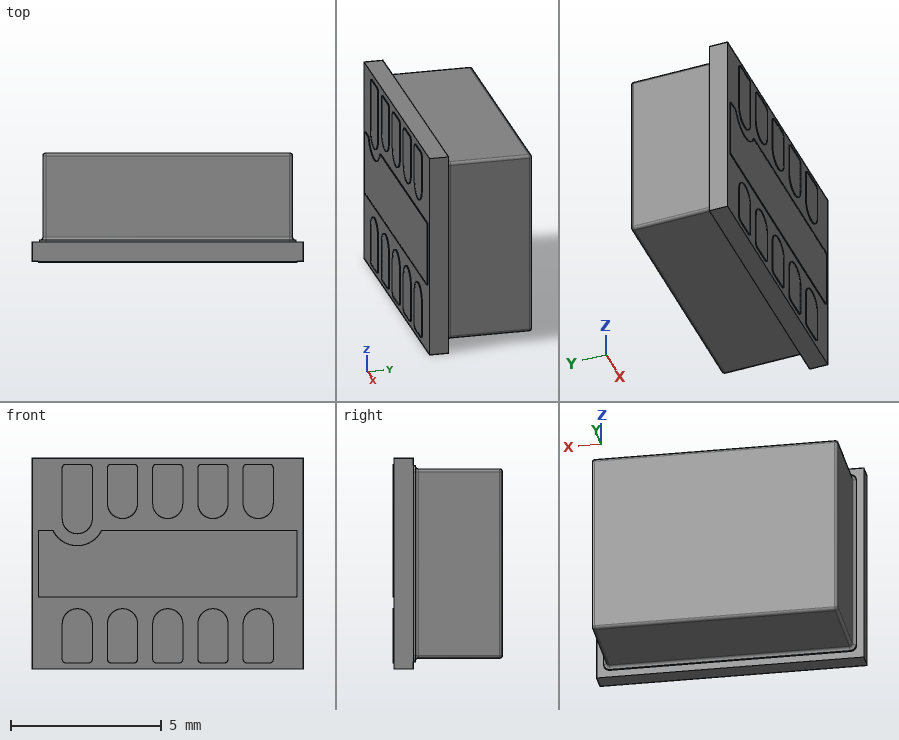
import cadquery as cq

board_width = 9.0
board_height = 7.0
overall_depth = 3.63
board_thickness = 0.65

cap_inset = 0.36
cap_edge_radius = 0.1
flange_overhang = 0.12
flange_thickness = 0.06
flange_fillet_radius = 0.1

pad_relief = 0.03
pad_margin = 0.21
pad_count = 5
pad_pitch = board_width / 6
pad_width = 1.0
pad_corner_radius = 0.13
pad_length = 1.8
long_pad_length = 2.3

thermal_pad_width = board_width - 2 * pad_margin
thermal_pad_height = 2.205
thermal_corner_radius = 0.045
notch_clearance = 0.4

first_pad_x = -pad_pitch * (pad_count - 1) / 2
pad_row_edge_z = board_height / 2 - pad_margin
cap_depth = overall_depth - board_thickness - pad_relief
cap_width = board_width - 2 * cap_inset
cap_height = board_height - 2 * cap_inset


def rounded_block(width, height, depth, corner_radius):
    """Block standing on the back face of the board, with rounded edges along Y."""
    return (
        cq.Workplane("XZ", origin=(0, board_thickness, 0))
        .rect(width, height)
        .extrude(-depth)
        .edges("|Y")
        .fillet(corner_radius)
    )


def make_cap():
    """Housing with rounded edges and a thin foot flange blended into its walls."""
    body = rounded_block(cap_width, cap_height, cap_depth, cap_edge_radius)
    body = body.faces(">Y").edges().fillet(cap_edge_radius)
    flange = rounded_block(
        cap_width + 2 * flange_overhang,
        cap_height + 2 * flange_overhang,
        flange_thickness,
        cap_edge_radius + flange_overhang,
    )
    flange_y = board_thickness + flange_thickness
    tolerance = 0.001
    foot_edges = cq.selectors.BoxSelector(
        (-cap_width / 2 - tolerance, flange_y - tolerance, -cap_height / 2 - tolerance),
        (cap_width / 2 + tolerance, flange_y + tolerance, cap_height / 2 + tolerance),
        boundingbox=True,
    )
    return body.union(flange).edges(foot_edges).fillet(flange_fillet_radius)


def make_contact_pad(center_x, length, side):
    """Pad with a round inner end; side is 1 for the upper row and -1 for the lower row."""
    half_width = pad_width / 2
    outer_z = side * pad_row_edge_z
    inner_z = side * (pad_row_edge_z - length)
    arc_start_z = inner_z + side * half_width
    return (
        cq.Workplane("XZ")
        .moveTo(center_x - half_width, outer_z)
        .lineTo(center_x + half_width, outer_z)
        .lineTo(center_x + half_width, arc_start_z)
        .threePointArc((center_x, inner_z), (center_x - half_width, arc_start_z))
        .close()
        .extrude(pad_relief)
        .edges("|Y")
        .edges(">Z" if side > 0 else "<Z")
        .fillet(pad_corner_radius)
    )


def make_thermal_pad():
    """Wide pad with an arc notch that runs concentric with the end of the long pad."""
    pad = (
        cq.Workplane("XZ")
        .rect(thermal_pad_width, thermal_pad_height)
        .extrude(pad_relief)
        .edges("|Y")
        .fillet(thermal_corner_radius)
    )
    notch_z = pad_row_edge_z - long_pad_length + pad_width / 2
    notch = (
        cq.Workplane("XZ")
        .center(first_pad_x, notch_z)
        .circle(pad_width / 2 + notch_clearance)
        .extrude(pad_relief)
    )
    return pad.cut(notch)


board = cq.Workplane("XZ").rect(board_width, board_height).extrude(-board_thickness)
result = board.union(make_cap()).union(make_thermal_pad())

for index in range(pad_count):
    pad_x = first_pad_x + index * pad_pitch
    upper_length = long_pad_length if index == 0 else pad_length
    result = result.union(make_contact_pad(pad_x, upper_length, 1))
    result = result.union(make_contact_pad(pad_x, pad_length, -1))